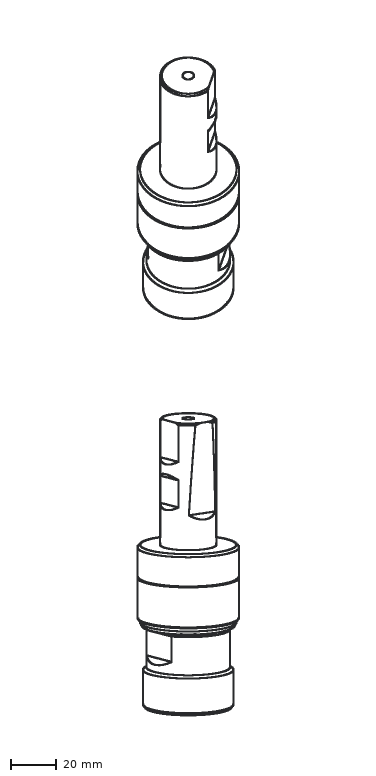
import cadquery as cq
import math

total_height = 130.0
shank_radius = 12.5
shank_tip_radius = 11.7
shank_chamfer_height = 0.8
bore_radius = 2.5

nut_radius = 20.0
nut_bottom_radius = 19.1
nut_bottom_chamfer = 1.2
nut_shoulder_z = 16.8

body_radius = 37.0 / 2
body_bottom_z = 18.0
body_top_z = 35.1

neck_lip_radius = 30.0 / 2
neck_radius = 14.5
neck_lip_top_z = 35.9

collar_radius = 22.5
collar_bottom_z = 36.7
collar_bottom_radius = 41.0 / 2
collar_bead_radius = 21.3
collar_bead_bottom_z = 38.2
collar_bead_top_z = 39.8
collar_edge_radius = 22.1
collar_side_z = 40.3
collar_top_z = 73.0
collar_chamfer = 1.2
collar_groove_z = 58.5
collar_groove_width = 0.4
collar_groove_depth = 0.3

flat_turn = 10.5
wrench_flat_distance = 32.1 / 2
wrench_flat_bottom_z = 23.7
shank_flat_distance = 10.5
upper_flat_bottom_z = 112.7
lower_flat_top_z = 104.4
lower_flat_bottom_z = 92.2
tilted_flat_angle = 2.0
tilted_flat_bottom_z = 88.8
tilted_flat_distance = 10.1

cut_reach = 13.0
cut_width = 4 * collar_radius


def turned_body():
    """Revolve the full outer profile (radius, height) about Z."""
    groove_bottom_z = collar_groove_z - collar_groove_width / 2
    groove_top_z = collar_groove_z + collar_groove_width / 2
    groove_radius = collar_radius - collar_groove_depth
    profile = [
        (0, 0),
        (nut_bottom_radius, 0),
        (nut_radius, nut_bottom_chamfer),
        (nut_radius, nut_shoulder_z),
        (body_radius, body_bottom_z),
        (body_radius, body_top_z),
        (neck_lip_radius, body_top_z),
        (neck_lip_radius, neck_lip_top_z),
        (neck_radius, neck_lip_top_z),
        (neck_radius, collar_bottom_z),
        (collar_bottom_radius, collar_bottom_z),
        (collar_bead_radius, collar_bead_bottom_z),
        (collar_bead_radius, collar_bead_top_z),
        (collar_edge_radius, collar_bead_top_z),
        (collar_radius, collar_side_z),
        (collar_radius, groove_bottom_z),
        (groove_radius, groove_bottom_z),
        (groove_radius, groove_top_z),
        (collar_radius, groove_top_z),
        (collar_radius, collar_top_z - collar_chamfer),
        (collar_radius - collar_chamfer, collar_top_z),
        (shank_radius, collar_top_z),
        (shank_radius, total_height - shank_chamfer_height),
        (shank_tip_radius, total_height),
        (0, total_height),
    ]
    return cq.Workplane("XZ").polyline(profile).close().revolve(360, (0, 0), (0, 1))


def flat_cutter(points, direction):
    """Extrude a (distance from axis, height) outline sideways and face it along an angle in XY."""
    cutter = cq.Workplane("XZ").polyline(points).close().extrude(cut_width / 2, both=True)
    return cutter.rotate((0, 0, 0), (0, 0, 1), direction)


def wrench_flat(direction):
    """Flat with a square top and a 45 degree run-out at the bottom."""
    outer = wrench_flat_distance + cut_reach
    return flat_cutter(
        [
            (wrench_flat_distance, wrench_flat_bottom_z),
            (wrench_flat_distance, body_top_z),
            (outer, body_top_z),
            (outer, wrench_flat_bottom_z - cut_reach),
        ],
        direction,
    )


def upper_shank_flat():
    """Clamping flat that runs out through the shank tip."""
    outer = shank_flat_distance + cut_reach
    return flat_cutter(
        [
            (shank_flat_distance, upper_flat_bottom_z),
            (shank_flat_distance, total_height),
            (outer, total_height),
            (outer, upper_flat_bottom_z - cut_reach),
        ],
        flat_turn,
    )


def lower_shank_flat():
    """Clamping flat with 45 degree run-outs at both ends."""
    outer = shank_flat_distance + cut_reach
    return flat_cutter(
        [
            (shank_flat_distance, lower_flat_bottom_z),
            (shank_flat_distance, lower_flat_top_z),
            (outer, lower_flat_top_z + cut_reach),
            (outer, lower_flat_bottom_z - cut_reach),
        ],
        flat_turn,
    )


def tilted_shank_flat():
    """Flat that gets deeper downward, a quarter turn from the clamping flats."""
    rise = total_height - tilted_flat_bottom_z
    top_distance = tilted_flat_distance + rise * math.tan(math.radians(tilted_flat_angle))
    outer = tilted_flat_distance + cut_reach
    return flat_cutter(
        [
            (tilted_flat_distance, tilted_flat_bottom_z),
            (top_distance, total_height),
            (outer, total_height),
            (outer, tilted_flat_bottom_z - cut_reach),
        ],
        flat_turn + 90,
    )


result = turned_body()
for wrench_direction in (flat_turn, flat_turn + 180):
    result = result.cut(wrench_flat(wrench_direction))
for shank_cutter in (upper_shank_flat(), lower_shank_flat(), tilted_shank_flat()):
    result = result.cut(shank_cutter)

bore = cq.Workplane("XY").circle(bore_radius).extrude(total_height)
result = result.cut(bore)